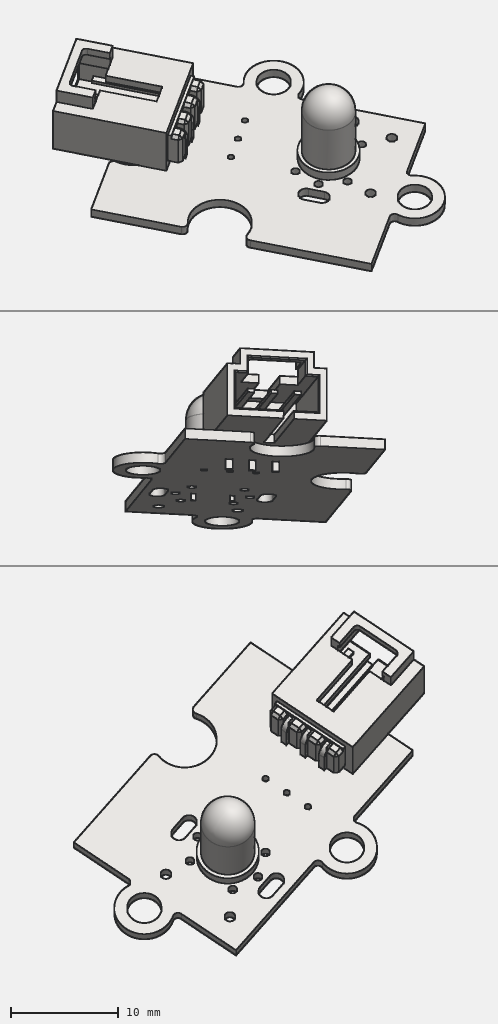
import cadquery as cq
import math


OVERALL_HEIGHT = 10.65

BOARD_LENGTH = 27.0
BOARD_WIDTH = 19.0
BOARD_THICKNESS = 1.0
EAR_RADIUS = 2.8
EAR_HOLE_DIAMETER = 3.2
NOTCH_RADIUS = 3.0
NOTCH_DEPTH = 1.48
RIGHT_EAR_OFFSET = 1.6
BACK_EAR_OFFSET = 1.48
PUZZLE_X = 12.0
PUZZLE_Y = 9.5
PUZZLE_FILLET = 0.48

TERMINAL_HOLE_DIAMETER = 0.6
TERMINAL_HOLE_X = 10.75
TERMINAL_HOLE_PITCH = 2.47
TERMINAL_HOLE_COUNT = 3
TERMINAL_HOLE_MID_Y = 12.47
SIDE_HOLE_DIAMETER = 1.0
SIDE_HOLE_X = 24.5
SIDE_HOLE_MID_Y = 12.62
SIDE_HOLE_SPACING = 7.5
RING_HOLE_DIAMETER = 0.8
RING_RADIUS = 3.55
RING_ANGLES = (45, 90, 135, 225, 270, 315)
SLOT_LENGTH = 3.0
SLOT_WIDTH = 1.48
SLOT_SPACING = 10.22

LED_X = 19.52
LED_Y = 12.3
DOME_DIAMETER = 5.0
LED_HEIGHT = 8.75
FLANGE_DIAMETER = 5.8
FLANGE_HEIGHT = 1.0
LEAD_THICKNESS = 0.22
LEAD_WIDTH = 0.45
LEAD_SPACING = 3.7
LONG_LEAD = 0.6
SHORT_LEAD = 0.48

HOUSING_LENGTH = 10.92
HOUSING_WIDTH = 9.45
HOUSING_HEIGHT = 5.0
HOUSING_FRONT_X = -5.5
HOUSING_Y = 11.4
WALL = 0.8
MOUTH_CHAMFER = 0.15

HOOD_LENGTH = 3.5
HOOD_WIDTH = 7.0
HOOD_TOP = 6.53
WINDOW_WIDTH = 5.0
WINDOW_FRONT_WALL = 0.92
WINDOW_FILLET = 0.4

ROOF_SLOT_WIDTH = 2.0
FLOOR_SLOT_WIDTH = 1.0
FLOOR_SLOT_Y = 10.3
SLOT_BACK_X = 3.47

PIN_COUNT = 3
PIN_PITCH = 2.2
PIN_MID_Y = 11.25
PIN_WIDTH = 0.63
PIN_THICKNESS = 0.35
PIN_TIP_X = -3.55
PIN_TOP = 3.2
PIN_BACK_X = 6.7
PIN_BOTTOM = LED_HEIGHT - OVERALL_HEIGHT
PIN_BEND_RADIUS = 0.9

FIN_BOTTOM = 0.77
FIN_TOP = 4.1
FIN_BACK_X = 6.75
FIN_SPAN = 8.0
FIN_CHAMFER = 0.35
BAR_BOTTOM = FIN_TOP - FIN_CHAMFER
BAR_TOP = 4.2
BAR_THICKNESS = 0.35

HOUSING_BACK_X = HOUSING_FRONT_X + HOUSING_LENGTH
HOOD_BACK_X = HOUSING_FRONT_X + HOOD_LENGTH
CAVITY_BACK_X = HOUSING_BACK_X - WALL
PIN_YS = [PIN_MID_Y + (i - (PIN_COUNT - 1) / 2) * PIN_PITCH for i in range(PIN_COUNT)]


def block(x_min, x_max, y_mid, width, z_min, z_max):
    """Box between two X and two Z values, centred on y_mid."""
    box = cq.Workplane("XY").box(x_max - x_min, width, z_max - z_min, centered=(False, True, False))
    return box.translate((x_min, y_mid, z_min))


def board_prism(points, diameter):
    """Round prisms through the thickness of the board."""
    sketch = cq.Workplane("XY").workplane(offset=-BOARD_THICKNESS).pushPoints(points)
    return sketch.circle(diameter / 2).extrude(BOARD_THICKNESS)


def is_puzzle_corner(edge):
    """True for vertical edges on the board outline away from its four corners."""
    point = edge.Center()
    at_x_corner = min(abs(point.x), abs(point.x - BOARD_LENGTH)) < PUZZLE_FILLET
    at_y_corner = min(abs(point.y), abs(point.y - BOARD_WIDTH)) < PUZZLE_FILLET
    return at_x_corner != at_y_corner


def make_board_blank():
    """Board outline with its ears and notches, before any hole is cut."""
    right_ear = (BOARD_LENGTH + RIGHT_EAR_OFFSET, PUZZLE_Y)
    back_ear = (PUZZLE_X, BOARD_WIDTH + BACK_EAR_OFFSET)
    left_notch = (NOTCH_DEPTH, PUZZLE_Y)
    front_notch = (PUZZLE_X, NOTCH_DEPTH)
    blank = block(0, BOARD_LENGTH, BOARD_WIDTH / 2, BOARD_WIDTH, -BOARD_THICKNESS, 0)
    blank = blank.union(board_prism([right_ear, back_ear], 2 * EAR_RADIUS))
    blank = blank.cut(board_prism([left_notch, front_notch], 2 * NOTCH_RADIUS))
    corners = [edge for edge in blank.edges("|Z").vals() if is_puzzle_corner(edge)]
    blank = blank.newObject(corners).fillet(PUZZLE_FILLET)
    return blank.cut(board_prism([right_ear, back_ear], EAR_HOLE_DIAMETER))


def make_board():
    """Board with all its holes, including those that the pins and the leads fill."""
    board = make_board_blank()

    first_y = TERMINAL_HOLE_MID_Y - (TERMINAL_HOLE_COUNT - 1) / 2 * TERMINAL_HOLE_PITCH
    terminal_ys = [first_y + i * TERMINAL_HOLE_PITCH for i in range(TERMINAL_HOLE_COUNT)]
    terminal_holes = [(TERMINAL_HOLE_X, y) for y in terminal_ys]
    board = board.cut(board_prism(terminal_holes, TERMINAL_HOLE_DIAMETER))

    side_holes = [(SIDE_HOLE_X, SIDE_HOLE_MID_Y + side * SIDE_HOLE_SPACING / 2) for side in (-1, 1)]
    board = board.cut(board_prism(side_holes, SIDE_HOLE_DIAMETER))

    ring_holes = []
    for angle in RING_ANGLES:
        x = LED_X + RING_RADIUS * math.cos(math.radians(angle))
        y = LED_Y + RING_RADIUS * math.sin(math.radians(angle))
        ring_holes.append((x, y))
    board = board.cut(board_prism(ring_holes, RING_HOLE_DIAMETER))

    slot_places = [(LED_X, LED_Y + side * SLOT_SPACING / 2) for side in (-1, 1)]
    slots = cq.Workplane("XY").pushPoints(slot_places).slot2D(SLOT_LENGTH, SLOT_WIDTH)
    board = board.cut(slots.extrude(-BOARD_THICKNESS))

    for y in PIN_YS:
        board = board.cut(make_pin(y))
    return board.cut(make_leads())


def make_leads():
    """Two flat leads of unequal length, from the board top downwards."""
    leads = cq.Workplane("XY")
    for side, length in ((-1, SHORT_LEAD), (1, LONG_LEAD)):
        y = LED_Y + side * LEAD_SPACING / 2
        x_min = LED_X - LEAD_THICKNESS / 2
        bottom = -BOARD_THICKNESS - length
        leads = leads.add(block(x_min, x_min + LEAD_THICKNESS, y, LEAD_WIDTH, bottom, 0))
    return leads.combine()


def make_led():
    """Flange, cylindrical body with a hemispherical dome, and the two leads."""
    radius = DOME_DIAMETER / 2
    shoulder = LED_HEIGHT - radius
    arc_mid = radius * math.sqrt(0.5)
    profile = (
        cq.Workplane("XZ")
        .lineTo(FLANGE_DIAMETER / 2, 0)
        .lineTo(FLANGE_DIAMETER / 2, FLANGE_HEIGHT)
        .lineTo(radius, FLANGE_HEIGHT)
        .lineTo(radius, shoulder)
        .threePointArc((arc_mid, shoulder + arc_mid), (0, LED_HEIGHT))
        .close()
    )
    body = profile.revolve(360, (0, 0, 0), (0, 1, 0)).translate((LED_X, LED_Y, 0))
    return body.union(make_leads())


def make_pin(y):
    """Right-angle pin: level inside the housing, bent down through the board."""
    inner_radius = PIN_BEND_RADIUS - PIN_THICKNESS
    side = (
        cq.Workplane("XZ")
        .moveTo(PIN_TIP_X, PIN_TOP)
        .lineTo(PIN_BACK_X - PIN_BEND_RADIUS, PIN_TOP)
        .radiusArc((PIN_BACK_X, PIN_TOP - PIN_BEND_RADIUS), PIN_BEND_RADIUS)
        .lineTo(PIN_BACK_X, PIN_BOTTOM)
        .lineTo(PIN_BACK_X - PIN_THICKNESS, PIN_BOTTOM)
        .lineTo(PIN_BACK_X - PIN_THICKNESS, PIN_TOP - PIN_BEND_RADIUS)
        .radiusArc((PIN_BACK_X - PIN_BEND_RADIUS, PIN_TOP - PIN_THICKNESS), -inner_radius)
        .lineTo(PIN_TIP_X, PIN_TOP - PIN_THICKNESS)
        .close()
    )
    return side.extrude(PIN_WIDTH / 2, both=True).translate((0, y, 0))


def make_fins():
    """Chamfered guide fins; the pins fill the gaps between them."""
    starts = [PIN_MID_Y - FIN_SPAN / 2] + [y + PIN_WIDTH / 2 for y in PIN_YS]
    ends = [y - PIN_WIDTH / 2 for y in PIN_YS] + [PIN_MID_Y + FIN_SPAN / 2]
    fins = []
    for start, end in zip(starts, ends):
        fin = block(HOUSING_BACK_X, FIN_BACK_X, (start + end) / 2, end - start, FIN_BOTTOM, FIN_TOP)
        outer_edges = fin.faces(">X").edges("|Z or >Z").add(fin.faces(">Z").edges("|X"))
        fins.append(outer_edges.chamfer(FIN_CHAMFER))
    return fins


def make_cavity():
    """Stepped opening of the housing, taller under the hood."""
    main_width = HOUSING_WIDTH - 2 * WALL
    main = block(HOUSING_FRONT_X, CAVITY_BACK_X, HOUSING_Y, main_width, WALL, HOUSING_HEIGHT - WALL)
    hood_width = HOOD_WIDTH - 2 * WALL
    under_hood = block(HOUSING_FRONT_X, HOOD_BACK_X, HOUSING_Y, hood_width, WALL, HOOD_TOP - WALL)
    return main.union(under_hood)


def make_housing():
    """Connector housing with its hood, cavity, slots, bar and fins."""
    housing = block(HOUSING_FRONT_X, HOUSING_BACK_X, HOUSING_Y, HOUSING_WIDTH, 0, HOUSING_HEIGHT)
    hood = block(HOUSING_FRONT_X, HOOD_BACK_X, HOUSING_Y, HOOD_WIDTH, 0, HOOD_TOP)
    housing = housing.union(hood).cut(make_cavity())
    mouth = housing.faces("<X").val().innerWires()[0]
    housing = housing.newObject(mouth.Edges()).chamfer(MOUTH_CHAMFER)

    window_front = HOUSING_FRONT_X + WINDOW_FRONT_WALL
    window = block(window_front, HOOD_BACK_X, HOUSING_Y, WINDOW_WIDTH, HOUSING_HEIGHT, HOOD_TOP)
    housing = housing.cut(window.edges("|Z and <X").fillet(WINDOW_FILLET))

    mid_height = HOUSING_HEIGHT / 2
    roof_slot = block(HOOD_BACK_X, SLOT_BACK_X, HOUSING_Y, ROOF_SLOT_WIDTH, mid_height, HOUSING_HEIGHT)
    floor_slot = block(HOUSING_FRONT_X, SLOT_BACK_X, FLOOR_SLOT_Y, FLOOR_SLOT_WIDTH, 0, mid_height)
    housing = housing.cut(roof_slot).cut(floor_slot)

    bar_back = HOUSING_BACK_X + BAR_THICKNESS
    housing = housing.union(block(HOUSING_BACK_X, bar_back, PIN_MID_Y, FIN_SPAN, BAR_BOTTOM, BAR_TOP))
    for fin in make_fins():
        housing = housing.union(fin)
    for y in PIN_YS:
        housing = housing.cut(make_pin(y))
    return housing


board = make_board()
led = make_led()
housing = make_housing()
pins = [make_pin(y) for y in PIN_YS]

result = cq.Compound.makeCompound([board.val(), led.val(), housing.val(), *[pin.val() for pin in pins]])